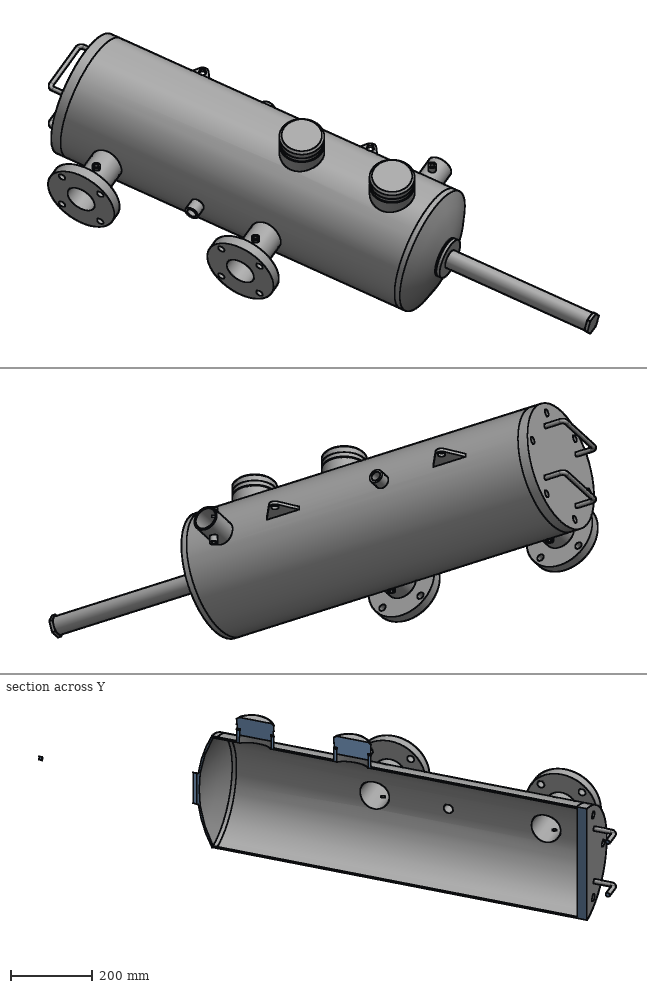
import cadquery as cq
import math


vessel_dia = 325.0
overall_height = 390.0
vessel_radius = vessel_dia / 2
wall = 6.0
bore_dia = vessel_dia - 2 * wall
lid_thickness = 27.0
shell_end = 976.0

rim_length = 15.0
crown_radius = 347.0
pad_dia = 103.0
pad_face = 1032.0
rim_end = shell_end + rim_length

lid_hole_count = 6
lid_hole_dia = 18.0
lid_hole_circle = 273.0
handle_height = 75.0
handle_half_span = 75.0
handle_bar_dia = 12.0
handle_reach = 60.0
handle_bend = 10.0

flanged_nozzle_x = [158.0, 611.0]
flange_face = 290.0
flange_dia = 189.0
flange_thickness = 27.0
flange_hole_dia = 18.0
flange_hole_spacing = 109.0
neck_dia = 85.0
neck_bore = 77.0
flanged_vent_y = -214.0

plain_nozzle_x = 876.0
plain_nozzle_dia = 65.0
plain_nozzle_bore = 56.0
plain_nozzle_end = 238.0
plain_vent_y = 199.0

vent_dia = 20.0
vent_bore = 10.0
vent_half_length = 50.0

coupling_x = 416.0
coupling_dia = 36.0
coupling_bore = 24.0
coupling_end = 192.0

lug_x = [223.0, 700.0]
lug_width = 97.0
lug_thickness = 9.0
lug_top = 215.0
lug_tip_radius = 15.0
lug_hole_dia = 18.0

capped_nozzle_x = [620.0, plain_nozzle_x]
capped_nozzle_dia = 112.0
capped_nozzle_bore = 97.0
capped_nozzle_top = 192.0
cap_gap = 3.0
cap_collar_dia = 110.0
cap_rim = 207.0
cap_top = overall_height - vessel_radius
cap_chamfer = 6.0
cap_shank_length = 15.0

rod_dia = 48.0
rod_flange_dia = pad_dia
rod_flange_thickness = 9.0
rod_end = 1448.0
hex_flats = 50.0
hex_thickness = 9.0


def x_cylinder(dia, start, end):
    return cq.Workplane("YZ", origin=(start, 0, 0)).circle(dia / 2).extrude(end - start)


def y_cylinder(dia, x, start, end):
    """Cylinder along Y at station x, between two y values."""
    return cq.Workplane("XZ", origin=(x, start, 0)).circle(dia / 2).extrude(start - end)


def z_cylinder(dia, x, y, start, end):
    """Cylinder along Z through (x, y), between two z values."""
    return cq.Workplane("XY", origin=(x, y, start)).circle(dia / 2).extrude(end - start)


def vent_stub(dia, x, y):
    return z_cylinder(dia, x, y, -vent_half_length, vent_half_length)


def lug(x):
    """Triangular plate with a rounded tip and an eye, rooted in the shell wall."""
    root_y = vessel_radius - wall / 2
    half_width = lug_width / 2
    eye_y = lug_top - lug_tip_radius
    reach = math.hypot(half_width, eye_y - root_y)
    tangent_angle = math.atan2(root_y - eye_y, half_width) + math.acos(lug_tip_radius / reach)
    tangent_x = lug_tip_radius * math.cos(tangent_angle)
    tangent_y = eye_y + lug_tip_radius * math.sin(tangent_angle)
    return (
        cq.Workplane("XY", origin=(x, 0, -lug_thickness / 2))
        .moveTo(-half_width, root_y)
        .lineTo(half_width, root_y)
        .lineTo(tangent_x, tangent_y)
        .threePointArc((0, lug_top), (-tangent_x, tangent_y))
        .close()
        .moveTo(0, eye_y)
        .circle(lug_hole_dia / 2)
        .extrude(lug_thickness)
    )


def make_shell():
    """Open tube with all its nozzles, couplings and lugs."""
    shell = x_cylinder(vessel_dia, lid_thickness, shell_end)
    for x in flanged_nozzle_x:
        shell = shell.union(y_cylinder(neck_dia, x, 0, -flange_face))
        shell = shell.union(y_cylinder(flange_dia, x, flange_thickness - flange_face, -flange_face))
        shell = shell.union(vent_stub(vent_dia, x, flanged_vent_y))
    shell = shell.union(y_cylinder(plain_nozzle_dia, plain_nozzle_x, 0, plain_nozzle_end))
    shell = shell.union(vent_stub(vent_dia, plain_nozzle_x, plain_vent_y))
    shell = shell.union(y_cylinder(coupling_dia, coupling_x, -coupling_end, coupling_end))
    for x in capped_nozzle_x:
        shell = shell.union(z_cylinder(capped_nozzle_dia, x, 0, 0, capped_nozzle_top))
    for x in lug_x:
        shell = shell.union(lug(x))

    shell = shell.cut(x_cylinder(bore_dia, lid_thickness, shell_end))
    for x in flanged_nozzle_x:
        shell = shell.cut(y_cylinder(neck_bore, x, 0, -flange_face))
        shell = shell.cut(vent_stub(vent_bore, x, flanged_vent_y))
        bolt_holes = (
            cq.Workplane("XZ", origin=(x, flange_thickness - flange_face, 0))
            .rect(flange_hole_spacing, flange_hole_spacing, forConstruction=True)
            .vertices()
            .circle(flange_hole_dia / 2)
            .extrude(flange_thickness)
        )
        shell = shell.cut(bolt_holes)
    shell = shell.cut(y_cylinder(plain_nozzle_bore, plain_nozzle_x, 0, plain_nozzle_end))
    shell = shell.cut(vent_stub(vent_bore, plain_nozzle_x, plain_vent_y))
    shell = shell.cut(y_cylinder(coupling_bore, coupling_x, -coupling_end, coupling_end))
    for x in capped_nozzle_x:
        shell = shell.cut(z_cylinder(capped_nozzle_bore, x, 0, 0, capped_nozzle_top))
    return shell


def make_head():
    """Spherical dished head with a short straight rim and a flat pad on its crown."""
    centre_x = rim_end - math.sqrt(crown_radius**2 - vessel_radius**2)
    inner_crown = crown_radius - wall
    inner_radius = bore_dia / 2
    pad_radius = pad_dia / 2

    def crown_point(sphere_radius, r):
        return centre_x + math.sqrt(sphere_radius**2 - r**2), r

    return (
        cq.Workplane("XY")
        .moveTo(shell_end, inner_radius)
        .lineTo(shell_end, vessel_radius)
        .lineTo(rim_end, vessel_radius)
        .threePointArc(
            crown_point(crown_radius, (vessel_radius + pad_radius) / 2),
            crown_point(crown_radius, pad_radius),
        )
        .lineTo(pad_face, pad_radius)
        .lineTo(pad_face, 0)
        .lineTo(centre_x + inner_crown, 0)
        .threePointArc(
            crown_point(inner_crown, inner_radius / 2),
            crown_point(inner_crown, inner_radius),
        )
        .close()
        .revolve(360, (0, 0, 0), (1, 0, 0))
    )


def make_lid():
    """Flat disc with a ring of through holes."""
    holes = (
        cq.Workplane("YZ")
        .polarArray(lid_hole_circle / 2, 0, 360, lid_hole_count)
        .circle(lid_hole_dia / 2)
        .extrude(lid_thickness)
    )
    return x_cylinder(vessel_dia, 0, lid_thickness).cut(holes)


def make_handle(z):
    """U-shaped round bar standing on the lid face."""
    bar_x = handle_bar_dia / 2 - handle_reach
    bend_x = bar_x + handle_bend
    straight = handle_half_span - handle_bend
    bend_inset = handle_bend * (1 - math.sqrt(0.5))
    path = (
        cq.Workplane("XY", origin=(0, 0, z))
        .moveTo(0, -handle_half_span)
        .lineTo(bend_x, -handle_half_span)
        .threePointArc((bar_x + bend_inset, bend_inset - handle_half_span), (bar_x, -straight))
        .lineTo(bar_x, straight)
        .threePointArc((bar_x + bend_inset, handle_half_span - bend_inset), (bend_x, handle_half_span))
        .lineTo(0, handle_half_span)
    )
    profile = cq.Workplane("YZ", origin=(0, -handle_half_span, z)).circle(handle_bar_dia / 2)
    return profile.sweep(path)


def make_cap(x):
    """Plug with a chamfered top, a collar and a shank that fills the nozzle mouth."""
    collar_base = capped_nozzle_top + cap_gap
    top = z_cylinder(capped_nozzle_dia, x, 0, cap_rim, cap_top).faces(">Z").chamfer(cap_chamfer)
    collar = z_cylinder(cap_collar_dia, x, 0, collar_base, cap_rim)
    shank_base = capped_nozzle_top - cap_shank_length
    shank = z_cylinder(capped_nozzle_bore, x, 0, shank_base, collar_base)
    return top.union(collar).union(shank)


def make_rod():
    """Round rod with a flange against the head pad and a hexagon at the free end."""
    flange = x_cylinder(rod_flange_dia, pad_face, pad_face + rod_flange_thickness)
    rod = x_cylinder(rod_dia, pad_face, rod_end)
    hex_corners = hex_flats / math.cos(math.radians(30))
    hexagon = (
        cq.Workplane("YZ", origin=(rod_end - hex_thickness, 0, 0))
        .polygon(6, hex_corners)
        .extrude(hex_thickness)
    )
    return flange.union(rod).union(hexagon)


shell = make_shell()
head = make_head()
lid = make_lid()
handles = [make_handle(z) for z in (-handle_height, handle_height)]
caps = [make_cap(x) for x in capped_nozzle_x]
rod = make_rod()

result = cq.Compound.makeCompound(
    [shell.val(), head.val(), lid.val(), rod.val()]
    + [handle.val() for handle in handles]
    + [cap.val() for cap in caps]
)